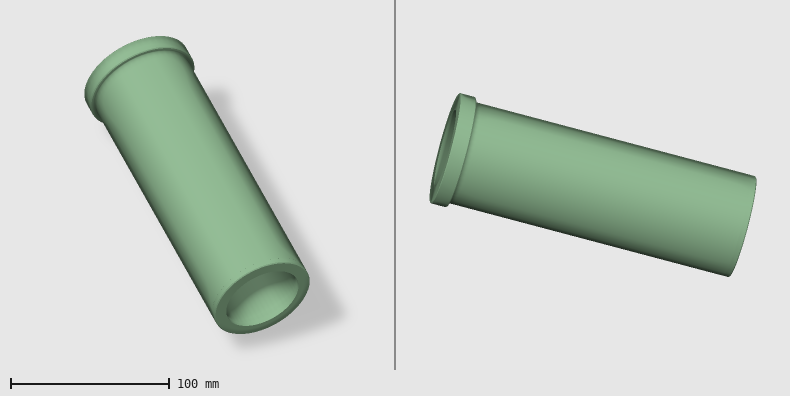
import cadquery as cq

length = 195.0
bore_diameter = 50.0
body_diameter = 66.0
flange_diameter = 72.0
flange_thickness = 10.3
edge_chamfer = 0.5
face_chamfer = 0.4
corner_fillet = 0.5
lead_length = 3.9
lead_step = 0.04

flange_face_x = -length / 2
shoulder_x = flange_face_x + flange_thickness
free_end_x = length / 2
lead_radius = body_diameter / 2 - lead_step


def cylinder(start_x, end_x, diameter):
    """Solid cylinder on the X axis between two stations."""
    return cq.Workplane("YZ", origin=(start_x, 0, 0)).circle(diameter / 2).extrude(end_x - start_x)


flange = cylinder(flange_face_x, shoulder_x, flange_diameter)
flange = flange.faces(">X").chamfer(edge_chamfer)
flange = flange.faces("<X").chamfer(face_chamfer)

body = cylinder(flange_face_x, free_end_x - lead_length, body_diameter)
lead = cylinder(free_end_x - lead_length, free_end_x, 2 * lead_radius)
lead = lead.faces(">X").chamfer(edge_chamfer)
outside = flange.union(body).union(lead)

corner = cq.selectors.BoxSelector(
    (shoulder_x - corner_fillet / 2, -body_diameter, -body_diameter),
    (shoulder_x + corner_fillet / 2, body_diameter, body_diameter),
)
corner_edge = outside.edges(corner).edges(cq.selectors.RadiusNthSelector(0))
outside = outside.newObject(corner_edge.vals()).fillet(corner_fillet)

result = outside.cut(cylinder(flange_face_x, free_end_x, bore_diameter))